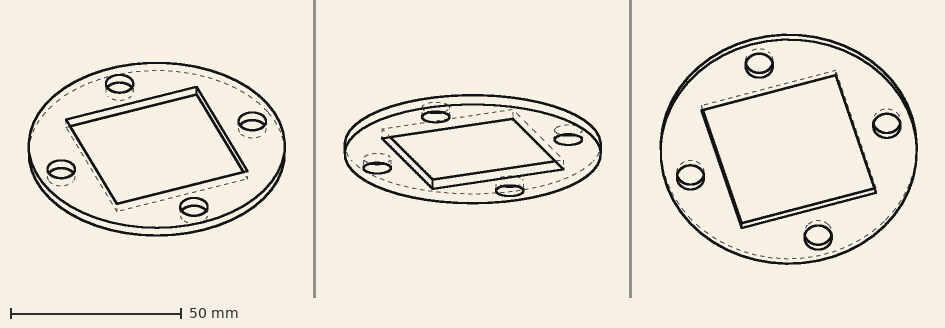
import cadquery as cq

disc_diameter = 75.0
thickness = 3.0
window_side = 41.0
hole_diameter = 8.0
hole_circle_radius = 30.0
hole_count = 4

plate = cq.Workplane("XY").circle(disc_diameter / 2).extrude(thickness)

plate = plate.faces(">Z").workplane().rect(window_side, window_side).cutThruAll()

result = (
    plate.faces(">Z")
    .workplane(origin=(0, 0, thickness))
    .polarArray(hole_circle_radius, 0, 360, hole_count)
    .hole(hole_diameter)
)